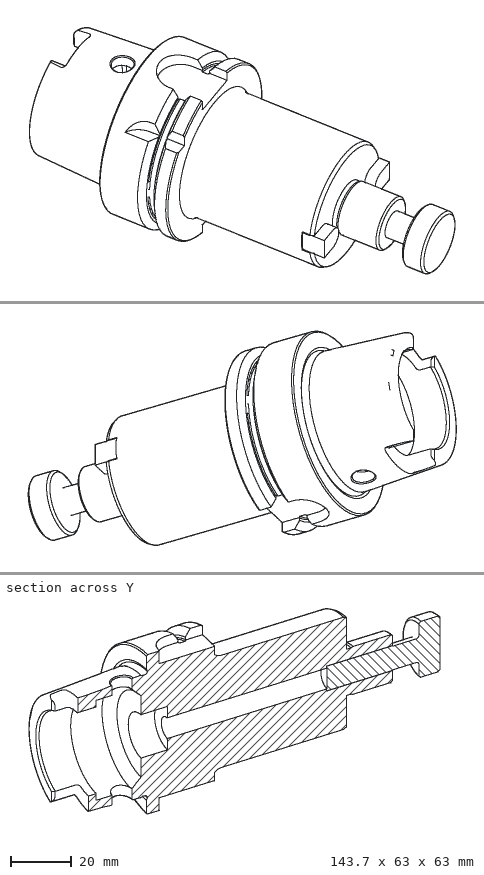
import cadquery as cq
import math


SHANK_LENGTH = 32.0
TAPER_END_RADIUS = 24.2
TAPER_END_X = -2.1
TAPER_SLOPE = 0.05
SHANK_ROUND = 1.0
NECK_RADIUS = 23.95
NECK_START_X = -1.3
NECK_FILLET = 0.95
FACE_RELIEF_RADIUS = 25.8
FACE_RELIEF_DEPTH = 0.4

BORE_RADIUS = 34.0 / 2
BORE_CHAMFER_LENGTH = 1.0
BORE_CHAMFER_HEIGHT = 0.45
BORE_STRAIGHT_LENGTH = 13.0
CHAMBER_RADIUS = 19.6
CHAMBER_FLOOR_CHAMFER = 3.6
BORE_FLOOR_X = -2.0
COOLANT_SEAT_DIAMETER = 16.92
COOLANT_SEAT_DEPTH = 10.0
COOLANT_HOLE_DIAMETER = 8.0

SLOT_WIDTH = 12.5
UPPER_SLOT_DEPTH = 5.9
LOWER_SLOT_DEPTH = 10.0
SLOT_FLARE_RADIUS = 3.0
SLOT_FLARE_START_Z = 18.0
SLOT_CORNER_RADIUS = 1.2
SLOT_CHAMFER = 0.85

CROSS_HOLE_DIAMETER = 7.5
CROSS_HOLE_X = -9.2
CROSS_HOLE_CHAMFER = 0.4

FLANGE_RADIUS = 63.0 / 2
FLANGE_LENGTH = 26.0
FLANGE_CHAMFER = 0.5
GROOVE_CENTER_X = 18.0
GROOVE_FLOOR_WIDTH = 2.8
GROOVE_MOUTH_WIDTH = 6.5
GROOVE_FLOOR_RADIUS = 27.5
GROOVE_WALL_RADIUS = 28.8
GROOVE_FILLET = 0.4

POCKET_RADIUS = 8.0
POCKET_CENTER_X = 13.0
POCKET_FLOOR_Z = 26.5
NOTCH_OFFSET = 20.0

BODY_RADIUS = 44.45 / 2
BODY_END_X = 76.2
BODY_CHAMFER_LENGTH = 1.3
BODY_CHAMFER_HEIGHT = 0.7
ROOT_LENGTH = 2.6
ROOT_HEIGHT = 1.1

PILOT_RADIUS = 19.05 / 2
PILOT_LENGTH = 17.46
PILOT_CHAMFER = 0.7
RELIEF_RADIUS = 18.4 / 2
RELIEF_LENGTH = 1.6

KEY_WIDTH = 8.0
KEY_LENGTH = 8.3
KEY_PROTRUSION = 4.0
KEY_OUTER_Y = 21.5
KEY_INNER_Y = 11.9

SCREW_SHANK_RADIUS = 9.53 / 2
SCREW_DEPTH = 25.0
SCREW_END_X = 111.68
SCREW_HEAD_RADIUS = 22.2 / 2
SCREW_HEAD_LENGTH = 8.2
SCREW_HEAD_CHAMFER = 0.8
SCREW_FILLET = 0.8

PICK_MARGIN = 0.1

SHANK_END_X = -SHANK_LENGTH
SHANK_END_RADIUS = TAPER_END_RADIUS - TAPER_SLOPE * (SHANK_LENGTH + TAPER_END_X)
PILOT_END_X = BODY_END_X + PILOT_LENGTH
SCREW_INNER_X = PILOT_END_X - SCREW_DEPTH
SCREW_HEAD_X = SCREW_END_X - SCREW_HEAD_LENGTH
KEY_BACK_X = BODY_END_X + KEY_PROTRUSION - KEY_LENGTH


def revolve_about_x(profile):
    """Closes a half profile drawn in XY and turns it about the X axis."""
    return profile.close().revolve(360, (0, 0, 0), (1, 0, 0))


def quarter_arc_inset(radius):
    """Distance from either side of a square corner to the middle of the arc that rounds it."""
    return radius * (1 - math.cos(math.pi / 4))


def x_cylinder(diameter, start, end):
    return cq.Workplane("YZ").workplane(offset=start).circle(diameter / 2).extrude(end - start)


def arbor_blank():
    """Turned outside of the holder, from the shank end to the pilot end."""
    round_end_x = SHANK_END_X + SHANK_ROUND
    taper_start_radius = SHANK_END_RADIUS + TAPER_SLOPE * SHANK_ROUND
    end_round_mid = quarter_arc_inset(SHANK_ROUND)
    neck_fillet_mid = quarter_arc_inset(NECK_FILLET)
    groove_fillet_mid = quarter_arc_inset(GROOVE_FILLET)
    floor_start_x = GROOVE_CENTER_X - GROOVE_FLOOR_WIDTH / 2
    floor_end_x = GROOVE_CENTER_X + GROOVE_FLOOR_WIDTH / 2
    half_mouth = GROOVE_MOUTH_WIDTH / 2
    root_radius = (ROOT_LENGTH**2 + ROOT_HEIGHT**2) / (2 * ROOT_HEIGHT)
    root_half_angle = math.asin(ROOT_LENGTH / root_radius) / 2
    root_end_x = FLANGE_LENGTH + ROOT_LENGTH
    root_mid = (
        root_end_x - root_radius * math.sin(root_half_angle),
        BODY_RADIUS + root_radius * (1 - math.cos(root_half_angle)),
    )
    relief_end_x = BODY_END_X + RELIEF_LENGTH
    profile = (
        cq.Workplane("XY")
        .moveTo(SHANK_END_X, 0)
        .lineTo(SHANK_END_X, taper_start_radius - SHANK_ROUND)
        .threePointArc(
            (SHANK_END_X + end_round_mid, taper_start_radius - end_round_mid),
            (round_end_x, taper_start_radius),
        )
        .lineTo(TAPER_END_X, TAPER_END_RADIUS)
        .lineTo(NECK_START_X, NECK_RADIUS)
        .lineTo(FACE_RELIEF_DEPTH - NECK_FILLET, NECK_RADIUS)
        .threePointArc(
            (FACE_RELIEF_DEPTH - neck_fillet_mid, NECK_RADIUS + neck_fillet_mid),
            (FACE_RELIEF_DEPTH, NECK_RADIUS + NECK_FILLET),
        )
        .lineTo(0, FACE_RELIEF_RADIUS)
        .lineTo(0, FLANGE_RADIUS - FLANGE_CHAMFER)
        .lineTo(FLANGE_CHAMFER, FLANGE_RADIUS)
        .lineTo(GROOVE_CENTER_X - half_mouth, FLANGE_RADIUS)
        .lineTo(floor_start_x, GROOVE_WALL_RADIUS)
        .lineTo(floor_start_x, GROOVE_FLOOR_RADIUS + GROOVE_FILLET)
        .threePointArc(
            (floor_start_x + groove_fillet_mid, GROOVE_FLOOR_RADIUS + groove_fillet_mid),
            (floor_start_x + GROOVE_FILLET, GROOVE_FLOOR_RADIUS),
        )
        .lineTo(floor_end_x - GROOVE_FILLET, GROOVE_FLOOR_RADIUS)
        .threePointArc(
            (floor_end_x - groove_fillet_mid, GROOVE_FLOOR_RADIUS + groove_fillet_mid),
            (floor_end_x, GROOVE_FLOOR_RADIUS + GROOVE_FILLET),
        )
        .lineTo(floor_end_x, GROOVE_WALL_RADIUS)
        .lineTo(GROOVE_CENTER_X + half_mouth, FLANGE_RADIUS)
        .lineTo(FLANGE_LENGTH - FLANGE_CHAMFER, FLANGE_RADIUS)
        .lineTo(FLANGE_LENGTH, FLANGE_RADIUS - FLANGE_CHAMFER)
        .lineTo(FLANGE_LENGTH, BODY_RADIUS + ROOT_HEIGHT)
        .threePointArc(root_mid, (root_end_x, BODY_RADIUS))
        .lineTo(BODY_END_X - BODY_CHAMFER_LENGTH, BODY_RADIUS)
        .lineTo(BODY_END_X, BODY_RADIUS - BODY_CHAMFER_HEIGHT)
        .lineTo(BODY_END_X, RELIEF_RADIUS)
        .lineTo(relief_end_x, RELIEF_RADIUS)
        .lineTo(relief_end_x + PILOT_CHAMFER, PILOT_RADIUS)
        .lineTo(PILOT_END_X - PILOT_CHAMFER, PILOT_RADIUS)
        .lineTo(PILOT_END_X, PILOT_RADIUS - PILOT_CHAMFER)
        .lineTo(PILOT_END_X, 0)
    )
    return revolve_about_x(profile)


def shank_bore():
    """Chamfered bore that opens into a wider clamping chamber, with the coolant holes."""
    chamber_x = SHANK_END_X + BORE_STRAIGHT_LENGTH
    profile = (
        cq.Workplane("XY")
        .moveTo(SHANK_END_X, 0)
        .lineTo(SHANK_END_X, BORE_RADIUS + BORE_CHAMFER_HEIGHT)
        .lineTo(SHANK_END_X + BORE_CHAMFER_LENGTH, BORE_RADIUS)
        .lineTo(chamber_x, BORE_RADIUS)
        .lineTo(chamber_x, CHAMBER_RADIUS)
        .lineTo(BORE_FLOOR_X - CHAMBER_FLOOR_CHAMFER, CHAMBER_RADIUS)
        .lineTo(BORE_FLOOR_X, CHAMBER_RADIUS - CHAMBER_FLOOR_CHAMFER)
        .lineTo(BORE_FLOOR_X, 0)
    )
    seat_end_x = BORE_FLOOR_X + COOLANT_SEAT_DEPTH
    seat = x_cylinder(COOLANT_SEAT_DIAMETER, BORE_FLOOR_X, seat_end_x)
    hole = x_cylinder(COOLANT_HOLE_DIAMETER, seat_end_x, SCREW_INNER_X)
    return revolve_about_x(profile).union(seat).union(hole)


def drive_slot(depth, side):
    """Slot across one wall of the shank end; side is +1 for the upper wall, -1 for the lower."""
    half_width = SLOT_WIDTH / 2
    flare_end = half_width + SLOT_FLARE_RADIUS
    flare_top_z = SLOT_FLARE_START_Z + SLOT_FLARE_RADIUS
    mid_y = half_width + quarter_arc_inset(SLOT_FLARE_RADIUS)
    mid_z = flare_top_z - quarter_arc_inset(SLOT_FLARE_RADIUS)
    slot = (
        cq.Workplane("YZ")
        .workplane(offset=SHANK_END_X)
        .moveTo(-half_width, 0)
        .lineTo(-half_width, side * SLOT_FLARE_START_Z)
        .threePointArc((-mid_y, side * mid_z), (-flare_end, side * flare_top_z))
        .lineTo(-flare_end, side * FLANGE_RADIUS)
        .lineTo(flare_end, side * FLANGE_RADIUS)
        .lineTo(flare_end, side * flare_top_z)
        .threePointArc((mid_y, side * mid_z), (half_width, side * SLOT_FLARE_START_Z))
        .lineTo(half_width, 0)
        .close()
        .extrude(depth)
    )
    wall_edges = cq.selectors.BoxSelector(
        (SHANK_END_X + depth - PICK_MARGIN, -flare_end + PICK_MARGIN, side * PICK_MARGIN),
        (SHANK_END_X + depth + PICK_MARGIN, flare_end - PICK_MARGIN, side * (flare_top_z - PICK_MARGIN)),
    )
    lead_in = (
        cq.Workplane("XY")
        .moveTo(SHANK_END_X, -half_width - SLOT_CHAMFER)
        .lineTo(SHANK_END_X + SLOT_CHAMFER, -half_width)
        .lineTo(SHANK_END_X + SLOT_CHAMFER, half_width)
        .lineTo(SHANK_END_X, half_width + SLOT_CHAMFER)
        .close()
        .extrude(side * FLANGE_RADIUS)
    )
    return slot.edges(wall_edges).fillet(SLOT_CORNER_RADIUS).union(lead_in)


def flange_pocket(side):
    """Round-ended flat pocket that opens through the back of the flange."""
    height = FLANGE_RADIUS - POCKET_FLOOR_Z
    plane = cq.Workplane("XY").workplane(offset=side * POCKET_FLOOR_Z)
    return (
        plane.moveTo(FLANGE_LENGTH, -POCKET_RADIUS)
        .lineTo(POCKET_CENTER_X, -POCKET_RADIUS)
        .threePointArc((POCKET_CENTER_X - POCKET_RADIUS, 0), (POCKET_CENTER_X, POCKET_RADIUS))
        .lineTo(FLANGE_LENGTH, POCKET_RADIUS)
        .close()
        .extrude(side * height)
    )


def flange_notch():
    """Square corner notch at -Y +Z with a rounded front end."""
    corner = cq.Workplane("XY").workplane(offset=NOTCH_OFFSET)
    mid_x = POCKET_CENTER_X - POCKET_RADIUS * math.sin(math.pi / 4)
    mid_y = -NOTCH_OFFSET - quarter_arc_inset(POCKET_RADIUS)
    outer_y = -NOTCH_OFFSET - POCKET_RADIUS
    return (
        corner.moveTo(FLANGE_LENGTH, -NOTCH_OFFSET)
        .lineTo(POCKET_CENTER_X, -NOTCH_OFFSET)
        .threePointArc((mid_x, mid_y), (POCKET_CENTER_X - POCKET_RADIUS, outer_y))
        .lineTo(FLANGE_LENGTH, outer_y)
        .close()
        .extrude(FLANGE_RADIUS - NOTCH_OFFSET)
    )


def drive_key(side, outer_y):
    """Key with a full-round inner end, running out to outer_y on the given Y side."""
    half_width = KEY_WIDTH / 2
    round_center_y = KEY_INNER_Y + half_width
    return (
        cq.Workplane("YZ")
        .workplane(offset=KEY_BACK_X)
        .moveTo(side * outer_y, -half_width)
        .lineTo(side * round_center_y, -half_width)
        .threePointArc((side * KEY_INNER_Y, 0), (side * round_center_y, half_width))
        .lineTo(side * outer_y, half_width)
        .close()
        .extrude(KEY_LENGTH)
    )


def retaining_screw():
    """Shank and chamfered head, with a small fillet under the head."""
    fillet_mid = quarter_arc_inset(SCREW_FILLET)
    profile = (
        cq.Workplane("XY")
        .moveTo(SCREW_INNER_X, 0)
        .lineTo(SCREW_INNER_X, SCREW_SHANK_RADIUS)
        .lineTo(SCREW_HEAD_X - SCREW_FILLET, SCREW_SHANK_RADIUS)
        .threePointArc(
            (SCREW_HEAD_X - fillet_mid, SCREW_SHANK_RADIUS + fillet_mid),
            (SCREW_HEAD_X, SCREW_SHANK_RADIUS + SCREW_FILLET),
        )
        .lineTo(SCREW_HEAD_X, SCREW_HEAD_RADIUS - SCREW_HEAD_CHAMFER)
        .lineTo(SCREW_HEAD_X + SCREW_HEAD_CHAMFER, SCREW_HEAD_RADIUS)
        .lineTo(SCREW_END_X - SCREW_HEAD_CHAMFER, SCREW_HEAD_RADIUS)
        .lineTo(SCREW_END_X, SCREW_HEAD_RADIUS - SCREW_HEAD_CHAMFER)
        .lineTo(SCREW_END_X, 0)
    )
    return revolve_about_x(profile)


def cut_cross_hole(holder):
    """Cuts the hole through both shank walls along Z and chamfers its outer rims."""
    radius = CROSS_HOLE_DIAMETER / 2
    hole = cq.Workplane("XY").center(CROSS_HOLE_X, 0).circle(radius).extrude(FLANGE_RADIUS, both=True)
    holder = holder.cut(hole)
    reach = radius + PICK_MARGIN
    for rim_bottom, rim_top in ((CHAMBER_RADIUS, FLANGE_RADIUS), (-FLANGE_RADIUS, -CHAMBER_RADIUS)):
        rim = cq.selectors.BoxSelector(
            (CROSS_HOLE_X - reach, -reach, rim_bottom),
            (CROSS_HOLE_X + reach, reach, rim_top),
            boundingbox=True,
        )
        holder = holder.edges(rim).edges("not |Z").chamfer(CROSS_HOLE_CHAMFER)
    return holder


holder = cut_cross_hole(arbor_blank().cut(shank_bore())).cut(flange_notch())
holder = holder.cut(drive_slot(UPPER_SLOT_DEPTH, 1)).cut(drive_slot(LOWER_SLOT_DEPTH, -1))
for side in (1, -1):
    holder = holder.cut(flange_pocket(side))
    holder = holder.cut(drive_key(side, FLANGE_RADIUS))
holder = holder.cut(x_cylinder(2 * SCREW_SHANK_RADIUS, SCREW_INNER_X, PILOT_END_X))

keys = [drive_key(side, KEY_OUTER_Y) for side in (1, -1)]
screw = retaining_screw()

result = cq.Compound.makeCompound([holder.val(), *[key.val() for key in keys], screw.val()])